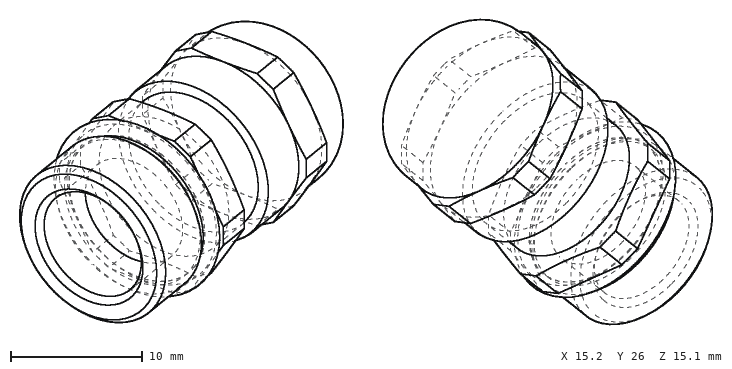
import cadquery as cq

LENGTH = 26.0
FRONT = -LENGTH / 2

THREAD_END = 5.28
LOWER_HEX_START = 7.02
LOWER_HEX_END = 10.0
COLLAR_START = 14.0
UPPER_HEX_START = 18.0
UPPER_HEX_END = 21.03

THREAD_RADIUS = 6.75
NECK_RADIUS = 6.0
NUT_RADIUS = 7.0
DOME_ROUND = 3.0
THREAD_CHAMFER = 0.5
RELIEF_RADIUS = THREAD_RADIUS - THREAD_CHAMFER

COLLAR_TAPER_LENGTH = 0.23
COLLAR_TAPER_DROP = 0.05

RING_OUTER_RADIUS = 7.55
RING_TUBE_RADIUS = 0.62
RING_CENTRE_RADIUS = RING_OUTER_RADIUS - RING_TUBE_RADIUS
RING_CENTRE_STATION = LOWER_HEX_START - RING_TUBE_RADIUS

HEX_ACROSS_FLATS = 2 * NUT_RADIUS
HEX_ACROSS_CORNERS = 15.15
HEX_TIP_RADIUS = 8.05
LOWER_HEX_BEVEL = 0.35
UPPER_HEX_FRONT_BEVEL = 0.23
UPPER_HEX_BACK_BEVEL = 0.29

BORE_RADIUS = 4.5
BORE_CHAMFER = 0.5
BORE_DEPTH = 6.0


def revolve(outline):
    """Turn a closed (radius, station) outline about the Y axis."""
    return outline.close().revolve(360, (0, 0, 0), (0, 1, 0)).translate((0, FRONT, 0))


def turned_body():
    outline = (
        cq.Workplane("XY")
        .lineTo(RELIEF_RADIUS, 0)
        .lineTo(THREAD_RADIUS, THREAD_CHAMFER)
        .lineTo(THREAD_RADIUS, THREAD_END)
        .lineTo(RELIEF_RADIUS, THREAD_END + THREAD_CHAMFER)
        .lineTo(RELIEF_RADIUS, RING_CENTRE_STATION)
        .lineTo(RING_CENTRE_RADIUS, RING_CENTRE_STATION)
        .lineTo(RING_CENTRE_RADIUS, LOWER_HEX_START)
        .lineTo(NECK_RADIUS, LOWER_HEX_START)
        .lineTo(NECK_RADIUS, COLLAR_START)
        .lineTo(NUT_RADIUS - COLLAR_TAPER_DROP, COLLAR_START)
        .lineTo(NUT_RADIUS, COLLAR_START + COLLAR_TAPER_LENGTH)
        .lineTo(NUT_RADIUS, LENGTH - DOME_ROUND)
        .radiusArc((NUT_RADIUS - DOME_ROUND, LENGTH), -DOME_ROUND)
        .lineTo(0, LENGTH)
    )
    return revolve(outline)


def hex_prism(across_flats, start, end, turn):
    """Hexagonal prism along Y; at zero turn (degrees) two of its flats face +X and -X."""
    prism = (
        cq.Workplane("XZ")
        .polygon(6, across_flats, circumscribed=True)
        .extrude(start - end)
    )
    return prism.rotate((0, 0, 0), (0, 1, 0), turn).translate((0, FRONT + start, 0))


def hex_section(start, end, back_bevel, front_bevel=None):
    """Corner-cut hexagon; a bevelled end is turned down to the nut radius at its face."""
    flats = hex_prism(HEX_ACROSS_FLATS, start, end, 30)
    corner_cuts = hex_prism(HEX_ACROSS_CORNERS, start, end, 0)
    if front_bevel is None:
        front_edge = [(HEX_TIP_RADIUS, start)]
    else:
        front_edge = [(NUT_RADIUS, start), (HEX_TIP_RADIUS, start + front_bevel)]
    back_edge = [(HEX_TIP_RADIUS, end - back_bevel), (NUT_RADIUS, end)]
    envelope = cq.Workplane("XY").polyline([(0, start), *front_edge, *back_edge, (0, end)])
    return flats.intersect(corner_cuts).intersect(revolve(envelope))


def sealing_ring():
    """Round-section ring seated against the lower hexagon."""
    section = cq.Workplane("XY").moveTo(RING_CENTRE_RADIUS, RING_CENTRE_STATION).circle(RING_TUBE_RADIUS)
    return section.revolve(360, (0, 0, 0), (0, 1, 0)).translate((0, FRONT, 0))


def bore():
    outline = (
        cq.Workplane("XY")
        .lineTo(BORE_RADIUS + BORE_CHAMFER, 0)
        .lineTo(BORE_RADIUS, BORE_CHAMFER)
        .lineTo(BORE_RADIUS, BORE_DEPTH)
        .lineTo(0, BORE_DEPTH)
    )
    return revolve(outline)


result = (
    turned_body()
    .union(hex_section(LOWER_HEX_START, LOWER_HEX_END, LOWER_HEX_BEVEL))
    .union(hex_section(UPPER_HEX_START, UPPER_HEX_END, UPPER_HEX_BACK_BEVEL, UPPER_HEX_FRONT_BEVEL))
    .union(sealing_ring())
    .cut(bore())
)